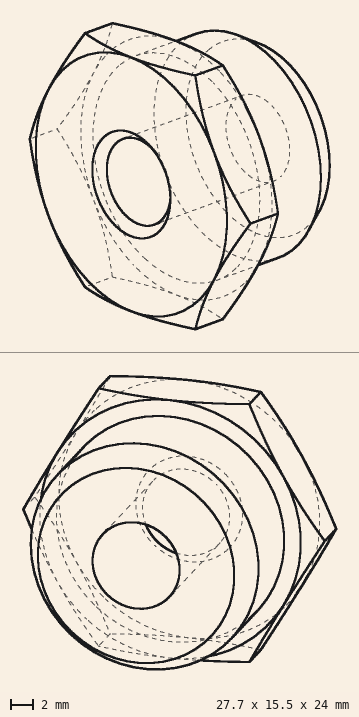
import cadquery as cq
import math

across_corners = 27.7
head_thickness = 5.51
body_length = 9.98
body_diameter = 20.95
body_chamfer_length = 2.5
chamfer_angle = math.radians(30)
bore_diameter = 8.0
countersink_diameter = 9.8

across_flats = across_corners * math.cos(math.pi / 6)
corner_radius = across_corners / 2
flat_radius = across_flats / 2
body_radius = body_diameter / 2
corner_chamfer_depth = (corner_radius - flat_radius) * math.tan(chamfer_angle)
body_chamfer_width = body_chamfer_length * math.tan(chamfer_angle)
bore_radius = bore_diameter / 2
countersink_radius = countersink_diameter / 2
countersink_depth = countersink_radius - bore_radius

head_front = -head_thickness
body_end = body_length


def turned(profile):
    """Revolve a closed (radius, y) profile about the Y axis."""
    return cq.Workplane("XY").polyline(profile).close().revolve(360, (0, 0, 0), (0, 1, 0))


def hexagon_head():
    """Hexagon with corners on X, its corners turned down by a cone at both faces."""
    hexagon = cq.Workplane("XZ").polygon(6, across_corners).extrude(head_thickness)
    envelope = turned([
        (0, head_front),
        (flat_radius, head_front),
        (corner_radius, head_front + corner_chamfer_depth),
        (corner_radius, -corner_chamfer_depth),
        (flat_radius, 0),
        (0, 0),
    ])
    return hexagon.intersect(envelope)


def body():
    """Round body with a tapered lead-in at its free end."""
    return turned([
        (0, head_front / 2),
        (body_radius, head_front / 2),
        (body_radius, body_end - body_chamfer_length),
        (body_radius - body_chamfer_width, body_end),
        (0, body_end),
    ])


def bore():
    """Through bore with a countersink in the head face."""
    return turned([
        (0, head_front),
        (countersink_radius, head_front),
        (bore_radius, head_front + countersink_depth),
        (bore_radius, body_end),
        (0, body_end),
    ])


result = hexagon_head().union(body()).cut(bore())